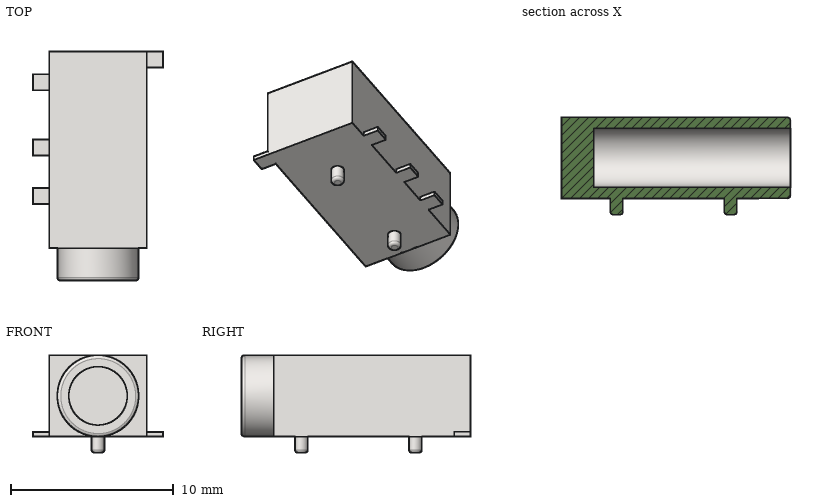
import cadquery as cq

total_length = 14.1
body_width = 6.0
body_height = 5.0
barrel_length = 2.0
body_length = total_length - barrel_length

barrel_diameter = body_height
bore_diameter = 3.6
bore_depth = body_length
barrel_rounding = 0.2

overall_width = 8.0
tab_reach = (overall_width - body_width) / 2
tab_width = 1.0
tab_thickness = 0.3
left_tab_positions = (1.9, 5.91, 8.9)
right_tab_positions = (tab_width / 2,)

peg_diameter = 0.8
peg_length = 1.0
peg_rounding = 0.2
peg_positions = (3.4, 10.4)


def make_body():
    return cq.Workplane("XY").box(
        body_width, body_length, body_height, centered=(True, False, False)
    ).translate((0, -body_length, 0))


def axial_cylinder(diameter, length, front):
    """Cylinder on the socket axis, running back from the given front Y."""
    return (
        cq.Workplane("XZ", origin=(0, front, body_height / 2))
        .circle(diameter / 2)
        .extrude(-length)
    )


def make_barrel():
    barrel = axial_cylinder(barrel_diameter, barrel_length, -total_length)
    return barrel.faces("<Y").edges().fillet(barrel_rounding)


def make_tab(side, distance):
    """Tab on the left (side = -1) or right (side = 1) of the body."""
    center_x = side * (body_width + tab_reach) / 2
    return cq.Workplane("XY").box(
        tab_reach, tab_width, tab_thickness, centered=(True, True, False)
    ).translate((center_x, -distance, 0))


def make_peg(distance):
    peg = (
        cq.Workplane("XY", origin=(0, -distance, 0))
        .circle(peg_diameter / 2)
        .extrude(-peg_length)
    )
    return peg.faces("<Z").edges().fillet(peg_rounding)


result = make_body().union(make_barrel())
for tab_position in left_tab_positions:
    result = result.union(make_tab(-1, tab_position))
for tab_position in right_tab_positions:
    result = result.union(make_tab(1, tab_position))
for peg_position in peg_positions:
    result = result.union(make_peg(peg_position))
result = result.cut(axial_cylinder(bore_diameter, bore_depth, -total_length))